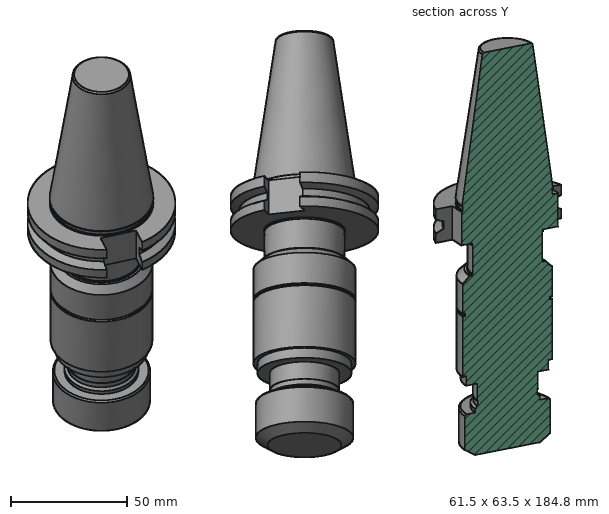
import cadquery as cq

total_height = 184.8

nut_radius = 42.0 / 2
nut_top = 19.8
nut_face_radius = 15.9
nut_bottom_chamfer_height = 3.3
nut_top_chamfer = 0.7
collar_radius = 32.0 / 2
collar_top = 21.5
collar_cone_top = 22.5
collet_neck_radius = 30.0 / 2
collet_relief_radius = 29.5 / 2
collet_relief_top = 25.0

step_radius = 40.5 / 2
step_bottom = 32.7
body_radius = 44.0 / 2
body_bottom = 37.2
body_shoulder = 80.0
body_top = 83.2
body_top_radius = 18.7
body_groove_radius = 41.5 / 2
body_groove_bottom = 65.0
body_groove_width = 1.1

neck_radius = 34.5 / 2
neck_collar_radius = 35.0 / 2
neck_collar_width = 0.7

flange_radius = 63.5 / 2
flange_bottom = 97.8
flange_top = 113.3
v_groove_middle = 105.4
v_groove_root_radius = 28.1
v_groove_root_width = 3.3
v_groove_mouth_width = 6.5
slot_width = 16.0
left_slot_floor = 24.8
right_slot_floor = 22.5

shank_neck_radius = 44.0 / 2
shank_neck_foot_height = 0.5
taper_land_height = 0.5
taper_bottom = 116.3
taper_bottom_radius = 22.4
taper_ratio = 7 / 48
taper_end_chamfer = 0.7


def turned_section(points):
    """Revolve (radius, height) points, closed along the axis, about Z."""
    outline = [(0, points[0][1])] + points + [(0, points[-1][1])]
    return cq.Workplane("XZ").polyline(outline).close().revolve(360, (0, 0, 0), (0, 1, 0))


def make_nut_and_collet():
    return turned_section([
        (nut_face_radius, 0),
        (nut_radius, nut_bottom_chamfer_height),
        (nut_radius, nut_top - nut_top_chamfer),
        (nut_radius - nut_top_chamfer, nut_top),
        (collar_radius, nut_top),
        (collar_radius, collar_top),
        (collet_relief_radius, collar_cone_top),
        (collet_relief_radius, collet_relief_top),
        (collet_neck_radius, collet_relief_top),
        (collet_neck_radius, step_bottom),
    ])


def make_body():
    groove_top = body_groove_bottom + body_groove_width
    return turned_section([
        (step_radius, step_bottom),
        (step_radius, body_bottom),
        (body_radius, body_bottom),
        (body_radius, body_groove_bottom),
        (body_groove_radius, body_groove_bottom),
        (body_groove_radius, groove_top),
        (body_radius, groove_top),
        (body_radius, body_shoulder),
        (body_top_radius, body_top),
        (neck_collar_radius, body_top),
    ])


def make_neck():
    lower_collar_top = body_top + neck_collar_width
    upper_collar_bottom = flange_bottom - neck_collar_width
    return turned_section([
        (neck_collar_radius, body_top),
        (neck_collar_radius, lower_collar_top),
        (neck_radius, lower_collar_top),
        (neck_radius, upper_collar_bottom),
        (neck_collar_radius, upper_collar_bottom),
        (neck_collar_radius, flange_bottom),
    ])


def make_drive_slot(side, floor):
    """Cutter for one slot; side is -1 for the -X slot and +1 for the +X slot."""
    depth = flange_radius - floor
    height = flange_top - flange_bottom
    return (
        cq.Workplane("XY", origin=(side * (floor + depth / 2), 0, flange_bottom))
        .rect(depth, slot_width)
        .extrude(height)
    )


def make_flange():
    root_half = v_groove_root_width / 2
    mouth_half = v_groove_mouth_width / 2
    flange = turned_section([
        (flange_radius, flange_bottom),
        (flange_radius, v_groove_middle - mouth_half),
        (v_groove_root_radius, v_groove_middle - root_half),
        (v_groove_root_radius, v_groove_middle + root_half),
        (flange_radius, v_groove_middle + mouth_half),
        (flange_radius, flange_top),
    ])
    for side, floor in ((-1, left_slot_floor), (1, right_slot_floor)):
        flange = flange.cut(make_drive_slot(side, floor))
    return flange


def make_shank():
    chamfer_bottom = total_height - taper_end_chamfer
    taper_top_radius = taper_bottom_radius - taper_ratio * (chamfer_bottom - taper_bottom)
    return turned_section([
        (taper_bottom_radius, flange_top),
        (shank_neck_radius, flange_top + shank_neck_foot_height),
        (shank_neck_radius, taper_bottom - taper_land_height),
        (taper_bottom_radius, taper_bottom - taper_land_height),
        (taper_bottom_radius, taper_bottom),
        (taper_top_radius, chamfer_bottom),
        (taper_top_radius - taper_end_chamfer, total_height),
    ])


result = (
    make_nut_and_collet()
    .union(make_body())
    .union(make_neck())
    .union(make_flange())
    .union(make_shank())
)